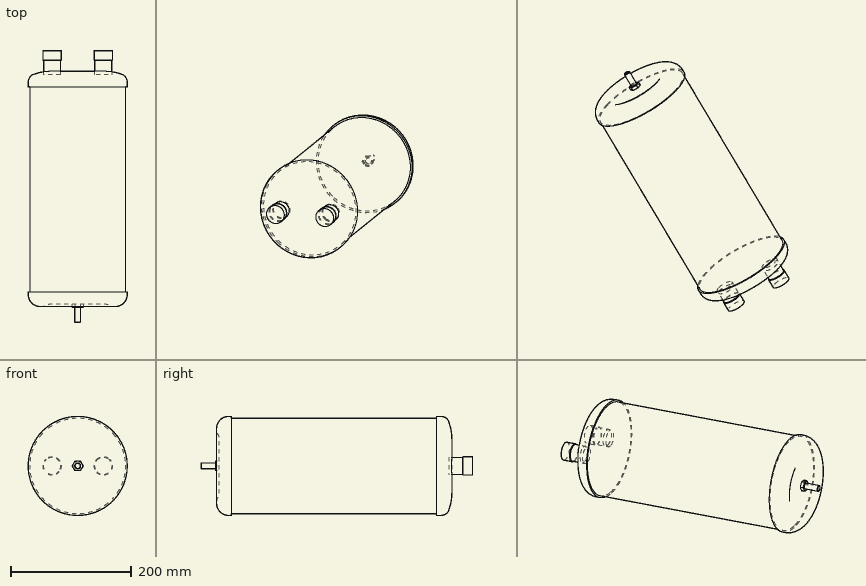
import cadquery as cq
import math

overall_length = 451.4
bottom_tip_y = 25.9
bottom_rim_y = 50.6
top_rim_y = 391.2
knuckle_start_y = 398.5
dome_top_y = 417.1

shell_diameter = 159.0
cap_diameter = 165.0
cap_radius = cap_diameter / 2

bead_radius = 20.5
recess_floor_radius = 47.4
recess_edge_radius = 51.2

crown_radius = 44.5
knuckle_angle = math.radians(60)
knuckle_radius = 15.0

pipe_offset = 42.5
pipe_diameter = 28.6
collar_diameter = 30.6
collar_length = 16.8
pipe_seat_depth = 5.3

hex_across_flats = 16.0
hex_height_past_bead = 1.4
stud_diameter = 10.0
stud_chamfer = 0.8
hex_chamfer_angle = math.radians(30)


def cylinder(diameter, start_y, end_y, x=0.0):
    """Solid round bar along +Y."""
    return (
        cq.Workplane("XZ", origin=(x, start_y, 0))
        .circle(diameter / 2)
        .extrude(start_y - end_y)
    )


def revolve_about_y(profile):
    return profile.close().revolve(360, (0, 0, 0), (0, 1, 0))


def arc_point(center, radius, angle):
    """Point on an arc; the angle is measured from +X towards +Y."""
    return (center[0] + radius * math.cos(angle), center[1] + radius * math.sin(angle))


bead_center = (cap_radius - bead_radius, bottom_tip_y + bead_radius)
bead_turn = math.asin((bead_center[0] - recess_edge_radius) / bead_radius)
bead_end_angle = -math.pi / 2 - bead_turn
bead_end = arc_point(bead_center, bead_radius, bead_end_angle)
floor_fillet_radius = (recess_edge_radius - recess_floor_radius) / math.sin(bead_turn)
recess_floor_y = bead_end[1] + floor_fillet_radius * (1 - math.cos(bead_turn))
floor_fillet_center = (recess_floor_radius, recess_floor_y - floor_fillet_radius)


def make_bottom_cap():
    profile = (
        cq.Workplane("XY")
        .moveTo(0, bottom_rim_y)
        .lineTo(cap_radius, bottom_rim_y)
        .lineTo(cap_radius, bead_center[1])
        .threePointArc(arc_point(bead_center, bead_radius, bead_end_angle / 2), bead_end)
        .threePointArc(
            arc_point(floor_fillet_center, floor_fillet_radius, (math.pi - bead_turn) / 2),
            (recess_floor_radius, recess_floor_y),
        )
        .lineTo(0, recess_floor_y)
    )
    return revolve_about_y(profile)


knuckle_center = (cap_radius - knuckle_radius, knuckle_start_y)
knuckle_end = arc_point(knuckle_center, knuckle_radius, knuckle_angle)
shoulder_width = knuckle_end[0] - crown_radius
shoulder_drop = dome_top_y - knuckle_end[1]
shoulder_radius = (shoulder_width**2 + shoulder_drop**2) / (2 * shoulder_drop)
shoulder_center = (crown_radius, dome_top_y - shoulder_radius)
shoulder_sweep = math.asin(shoulder_width / shoulder_radius)
pipe_seat_y = dome_top_y - pipe_seat_depth


def make_top_cap():
    profile = (
        cq.Workplane("XY")
        .moveTo(0, top_rim_y)
        .lineTo(cap_radius, top_rim_y)
        .lineTo(cap_radius, knuckle_center[1])
        .threePointArc(arc_point(knuckle_center, knuckle_radius, knuckle_angle / 2), knuckle_end)
        .threePointArc(
            arc_point(shoulder_center, shoulder_radius, (math.pi - shoulder_sweep) / 2),
            (crown_radius, dome_top_y),
        )
        .lineTo(0, dome_top_y)
    )
    cap = revolve_about_y(profile)
    for side in (-1, 1):
        cap = cap.cut(cylinder(pipe_diameter, pipe_seat_y, overall_length, side * pipe_offset))
    return cap


def make_pipe(x):
    """Pipe standing in its seat in the top cap, with a wider bevelled collar at the free end."""
    pipe = cylinder(pipe_diameter, pipe_seat_y, overall_length, x)
    collar = cylinder(collar_diameter, overall_length - collar_length, overall_length, x)
    collar = collar.faces("<Y").chamfer((collar_diameter - pipe_diameter) / 2)
    return pipe.union(collar)


def make_stud():
    """Hexagon head on the recess floor with a chamfered round shank pointing to -Y."""
    hex_across_corners = hex_across_flats / math.cos(math.pi / 6)
    hex_end_y = bottom_tip_y - hex_height_past_bead
    head = (
        cq.Workplane("XZ", origin=(0, recess_floor_y, 0))
        .polygon(6, hex_across_corners)
        .extrude(recess_floor_y - hex_end_y)
    )
    corner_overhang = (hex_across_corners - hex_across_flats) / 2
    bevel_depth = corner_overhang * math.tan(hex_chamfer_angle)
    bevelled_blank = cylinder(hex_across_corners, hex_end_y, recess_floor_y)
    bevelled_blank = bevelled_blank.faces("<Y").chamfer(bevel_depth, corner_overhang)
    head = head.intersect(bevelled_blank)
    shank = cylinder(stud_diameter, 0, recess_floor_y).faces("<Y").chamfer(stud_chamfer)
    return head.union(shank)


shell = cylinder(shell_diameter, bottom_rim_y, top_rim_y)
bottom_cap = make_bottom_cap()
top_cap = make_top_cap()
pipes = [make_pipe(side * pipe_offset) for side in (-1, 1)]
stud = make_stud()

result = cq.Compound.makeCompound(
    [shell.val(), bottom_cap.val(), top_cap.val(), *[pipe.val() for pipe in pipes], stud.val()]
)